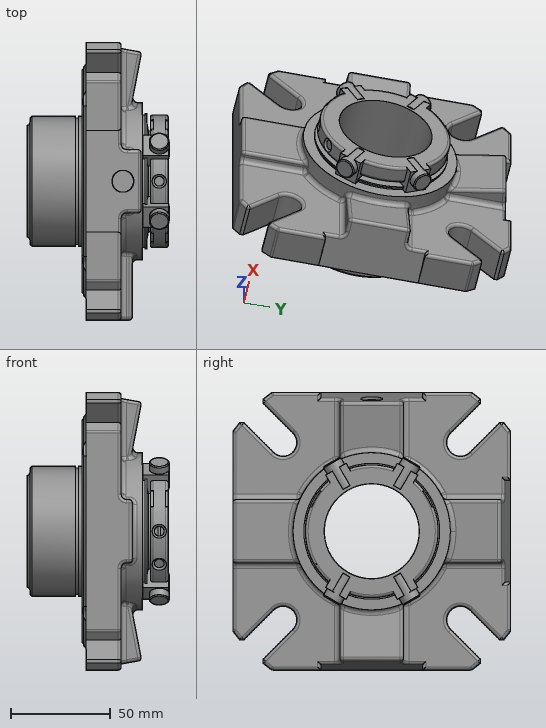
import cadquery as cq
import math

tolerance = 0.01

side = 139.5
half_side = side / 2
plate_front = 29.6
plate_back = 47.2
edge_round = 1.7
lug_round = 2.0

slot_width = 13.7
slot_angle = 45
slot_centre = 44.5
corner_start = 50.1
lug_tip = 54.7
corner_drop = 3.6

pad_half_width = 25.5
pad_slope = math.radians(10)
rib_half_width = 15.9
rib_foot_round = 2.8
rib_inner_radius = 27.9
rib_tip_x = 57.5
rib_lean = math.radians(11)
service_rib_back = 52.7
port_x = 48.1
port_diameter = 11.0
port_depth = 1.4

bore_diameter = 47.5
nose_radius = 28.0
nose_base_radius = 59.5 / 2
nose_length = 1.4
nose_round = 2.0
sleeve_end_radius = 31.8
sleeve_start = 2.5
sleeve_radius = 65.4 / 2
sleeve_groove_radius = 31.8
sleeve_groove_start = 24.1
sleeve_groove_end = 25.7
disc_front = 27.5
disc_face_radius = 111.2 / 2
disc_seat_radius = 111.7 / 2
disc_gap_depth = 0.7
disc_rim_x = 28.3
disc_rim_round = 1.5
disc_radius = 57.3
disc_foot_radius = 59.0
hub_radius = 39.5
hub_back = 57.8
hub_foot_round = 2.4
seal_radius = 33.3
seal_lip_radius = 68.2 / 2
seal_lip_front = 59.1
seal_lip_back = 60.0
seal_cone_radius = 30.0
neck_radius = 25.4
neck_front = 60.8

collar_front = 61.8
collar_back = 70.9
collar_radius = 33.3
collar_edge_round = 1.4
band_front = 63.3
band_back = 69.5
relief_angles = (-60, 60)
relief_half_angle = 8
relief_depth = 0.8
tab_angles = (-150, -30, 30, 150)
tab_width = 11.9
tab_radius = 36.0
tab_front = 58.0
head_diameter = 10.0
head_radius = 40.2
head_edge = 0.5
screw_x = 66.3
set_screw_angles = (-120, -90, 0)
slotted_angle = -90
recess_mouth = 7.3
recess_floor = 4.9
recess_depth = 1.1
driver_slot_width = 1.4
driver_slot_depth = 0.5


def turn(body, angle):
    """Turn a body made around +Z about the X axis, positive angles leaning toward +Y."""
    return body.rotate((0, 0, 0), (1, 0, 0), -angle)


def pad_height(x):
    """Distance of the sloped pad from the axis at a given x."""
    return half_side - (x - plate_front) * math.tan(pad_slope)


def reach(point):
    """Distance of a point from the axis, measured square to the plate sides."""
    return max(abs(point.y), abs(point.z))


def make_plate():
    """Square plate with its raised front disc, open slots and rounded lugs."""
    depth = plate_back - disc_front
    plate = cq.Workplane("YZ").workplane(offset=plate_front).rect(side, side).extrude(
        plate_back - plate_front
    )
    disc = (
        cq.Workplane("XY")
        .moveTo(disc_front, 0)
        .lineTo(disc_front, disc_face_radius)
        .lineTo(disc_front + disc_gap_depth, disc_face_radius)
        .lineTo(disc_front + disc_gap_depth, disc_seat_radius)
        .lineTo(disc_front, disc_seat_radius)
        .radiusArc((disc_rim_x, disc_radius), -disc_rim_round)
        .lineTo(plate_front, disc_foot_radius)
        .lineTo(plate_front, 0)
        .close()
        .revolve(360, (0, 0, 0), (1, 0, 0))
    )
    plate = plate.union(disc)
    slot = (
        cq.Workplane("YZ")
        .workplane(offset=disc_front)
        .center(half_side, 0)
        .rect(side, slot_width)
        .extrude(depth)
        .union(cq.Workplane("YZ").workplane(offset=disc_front).circle(slot_width / 2).extrude(depth))
        .rotate((0, 0, 0), (1, 0, 0), slot_angle)
        .translate((0, slot_centre, slot_centre))
    )
    corner = (
        cq.Workplane("YZ")
        .workplane(offset=disc_front)
        .polyline(
            [
                (corner_start, half_side),
                (lug_tip, half_side - corner_drop),
                (lug_tip, lug_tip),
                (half_side - corner_drop, lug_tip),
                (half_side, corner_start),
                (half_side, half_side),
            ]
        )
        .close()
        .extrude(depth)
    )
    for angle in (0, 90, 180, 270):
        plate = plate.cut(turn(slot.union(corner), angle))
    lug_edges = [edge for edge in plate.edges("|X").vals() if is_lug_corner(edge.Center())]
    return cq.Workplane(plate.val().fillet(lug_round, lug_edges))


def is_lug_corner(point):
    """True where a straight plate side turns into the sloped end of a lug."""
    on_side = abs(reach(point) - half_side) < tolerance
    return on_side and abs(min(abs(point.y), abs(point.z)) - corner_start) < tolerance


def rib_plan(back):
    """Rib seen along its length: straight flanks flaring into the plate back."""
    flare = rib_half_width + rib_foot_round
    straight = plate_back + rib_foot_round
    bulge = rib_foot_round * (1 - math.sqrt(0.5))
    inside = plate_back - 2 * edge_round
    return (
        cq.Workplane("XY")
        .workplane(offset=rib_inner_radius)
        .moveTo(inside, -flare)
        .lineTo(plate_back, -flare)
        .threePointArc((plate_back + bulge, -rib_half_width - bulge), (straight, -rib_half_width))
        .lineTo(back, -rib_half_width)
        .lineTo(back, rib_half_width)
        .lineTo(straight, rib_half_width)
        .threePointArc((plate_back + bulge, rib_half_width + bulge), (plate_back, flare))
        .lineTo(inside, flare)
        .close()
        .extrude(half_side - rib_inner_radius)
    )


def make_leaning_rib():
    """Rib whose back face leans away from the plate toward its outer end."""
    inner_x = rib_tip_x - (pad_height(rib_tip_x) - rib_inner_radius) * math.tan(rib_lean)
    side_view = (
        cq.Workplane("XZ")
        .polyline(
            [
                (plate_front, rib_inner_radius),
                (inner_x, rib_inner_radius),
                (rib_tip_x, pad_height(rib_tip_x)),
                (rib_tip_x, half_side),
                (plate_front, half_side),
            ]
        )
        .close()
        .extrude(half_side, both=True)
    )
    return rib_plan(rib_tip_x).intersect(side_view)


def make_pad_cut():
    """Wedge that slopes the middle of one plate side and its rib."""
    end = rib_tip_x + edge_round
    return (
        cq.Workplane("XZ")
        .polyline([(plate_front, half_side), (end, half_side), (end, pad_height(end))])
        .close()
        .extrude(pad_half_width, both=True)
    )


def make_flange():
    """Plate, ribs and turned body with the back edges and the hub root rounded."""
    flange = make_plate()
    for angle in (0, 90, 180):
        flange = flange.union(turn(make_leaning_rib(), angle))
    flange = flange.union(turn(rib_plan(service_rib_back), -90))
    for angle in (0, 90, 180):
        flange = flange.cut(turn(make_pad_cut(), angle))
    flange = flange.union(make_turned_body())
    outer_edges = [edge for edge in flange.edges().vals() if is_outer_back_edge(edge)]
    flange = cq.Workplane(flange.val().fillet(edge_round, outer_edges))
    hub_edges = [edge for edge in flange.edges().vals() if is_hub_root(edge)]
    return cq.Workplane(flange.val().fillet(hub_foot_round, hub_edges))


def is_outer_back_edge(edge):
    """True for edges of the plate outline and the ribs on the back, but not along a rib foot."""
    on_back = edge.Center().x > plate_back - tolerance
    outside_hub = reach(edge.Center()) > hub_radius + hub_foot_round
    foot_level = edge.Center().x < plate_back + rib_foot_round + tolerance
    inner_end = min(reach(edge.startPoint()), reach(edge.endPoint()))
    runs_inward = inner_end < hub_radius + 2 * hub_foot_round
    return on_back and outside_hub and not (foot_level and runs_inward)


def is_hub_root(edge):
    """True for edges where the hub meets the plate and the ribs."""
    behind_plate = plate_back - tolerance < edge.Center().x < hub_back - tolerance
    ends = (edge.startPoint(), edge.endPoint())
    return behind_plate and all(abs(math.hypot(end.y, end.z) - hub_radius) < tolerance for end in ends)


def make_turned_body():
    """Sleeve, hub, seal and neck as one outline turned about the axis."""
    return (
        cq.Workplane("XY")
        .lineTo(0, nose_radius)
        .radiusArc((nose_length, nose_base_radius), -nose_round)
        .lineTo(nose_length, sleeve_end_radius)
        .lineTo(sleeve_start, sleeve_radius)
        .lineTo(sleeve_groove_start, sleeve_radius)
        .lineTo(sleeve_groove_start, sleeve_groove_radius)
        .lineTo(sleeve_groove_end, sleeve_groove_radius)
        .lineTo(sleeve_groove_end, sleeve_radius)
        .lineTo(plate_front, sleeve_radius)
        .lineTo(plate_front, hub_radius)
        .lineTo(hub_back, hub_radius)
        .lineTo(hub_back, seal_radius)
        .lineTo(seal_lip_front, seal_radius)
        .lineTo(seal_lip_front, seal_lip_radius)
        .lineTo(seal_lip_back, seal_lip_radius)
        .lineTo(seal_lip_back, seal_cone_radius)
        .lineTo(neck_front, neck_radius)
        .lineTo(collar_front, neck_radius)
        .lineTo(collar_front, 0)
        .close()
        .revolve(360, (0, 0, 0), (1, 0, 0))
    )


def cylinder(start, end, radius):
    """Solid cylinder on the X axis."""
    return cq.Workplane("YZ").workplane(offset=start).circle(radius).extrude(end - start)


def make_collar():
    """Locking collar with rounded rims and two shallow reliefs on each rim."""
    collar = cylinder(collar_front, collar_back, collar_radius).edges().fillet(collar_edge_round)
    relief = make_rim_relief(collar_front, band_front).union(make_rim_relief(band_back, collar_back))
    for angle in relief_angles:
        collar = collar.cut(turn(relief, angle))
    return collar


def make_rim_relief(start, end):
    """Shallow sector to remove from the rim of the collar."""
    half_width = collar_radius * math.sin(math.radians(relief_half_angle))
    sagitta = collar_radius * (1 - math.cos(math.radians(relief_half_angle)))
    sector = cq.Workplane("XY").box(end - start, 2 * half_width, 2 * relief_depth + 2 * sagitta).translate(
        ((start + end) / 2, 0, collar_radius)
    )
    return sector.cut(cylinder(start, end, collar_radius - relief_depth))


def make_clamp():
    """Tab and round screw head standing on the collar."""
    length = collar_back - tab_front
    tab = (
        cq.Workplane("XY")
        .workplane(offset=neck_radius)
        .center(tab_front + length / 2, 0)
        .rect(length, tab_width)
        .extrude(tab_radius - neck_radius)
    )
    head = (
        cq.Workplane("XY")
        .workplane(offset=neck_radius)
        .center(screw_x, 0)
        .circle(head_diameter / 2)
        .extrude(head_radius - neck_radius)
        .faces(">Z")
        .edges()
        .chamfer(head_edge)
    )
    return tab.union(head)


def make_set_screw_recess():
    """Tapered recess in the collar down to the end of a set screw."""
    return (
        cq.Workplane("XY")
        .workplane(offset=collar_radius)
        .center(screw_x, 0)
        .circle(recess_mouth / 2)
        .workplane(offset=-recess_depth)
        .circle(recess_floor / 2)
        .loft()
    )


def make_driver_slot():
    """Slot across the floor of a set screw recess."""
    return cq.Workplane("XY").box(driver_slot_width, recess_floor, 2 * driver_slot_depth).translate(
        (screw_x, 0, collar_radius - recess_depth)
    )


def make_port():
    """Round recess square to the sloped pad."""
    tilt = math.degrees(pad_slope)
    port = cq.Workplane("XY").circle(port_diameter / 2).extrude(2 * port_depth, both=True)
    port = port.translate((0, 0, port_depth))
    return port.rotate((0, 0, 0), (0, 1, 0), tilt).translate((port_x, 0, pad_height(port_x)))


body = make_flange().union(make_collar())
for angle in tab_angles:
    body = body.union(turn(make_clamp(), angle))
for angle in set_screw_angles:
    body = body.cut(turn(make_set_screw_recess(), angle))
body = body.cut(turn(make_driver_slot(), slotted_angle))
body = body.cut(make_port())
result = body.cut(cylinder(0, collar_back, bore_diameter / 2))